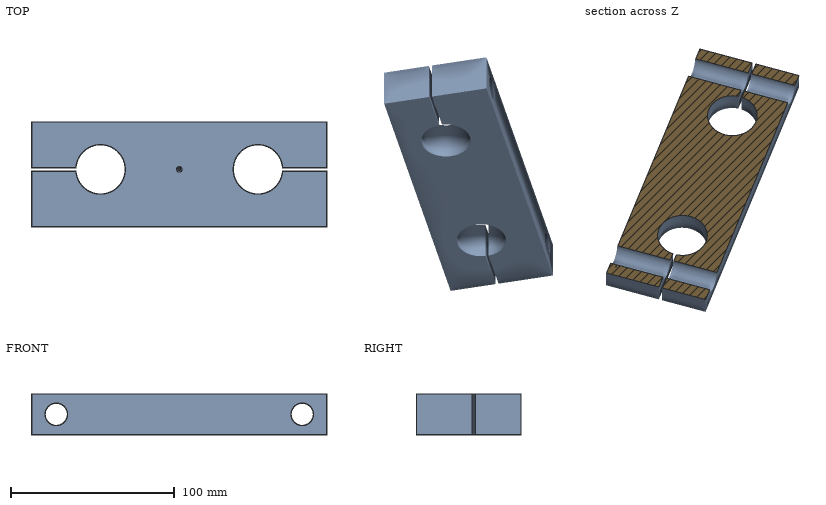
import cadquery as cq
import math

LENGTH = 180.0
WIDTH = 64.0
HEIGHT = 25.0

BORE_DIAMETER = 30.0
BORE_SPACING = 96.0
BORE_AXIS_Y = 3.0
SLIT_WIDTH = 2.0

SCREW_HOLE_DIAMETER = 13.5
SCREW_HOLE_END_DISTANCE = 15.0

PILOT_DIAMETER = 1.6
PILOT_DEPTH = 2.0
CENTRE_CONE_DIAMETER = 3.35
CENTRE_CONE_ANGLE = 60.0
PILOT_TIP_ANGLE = 120.0

SIDES = (-1, 1)
TOP = HEIGHT / 2


def cone_depth(diameter_change, included_angle):
    """Axial length over which a cone changes diameter by the given amount."""
    return diameter_change / 2 / math.tan(math.radians(included_angle / 2))


def make_block():
    return cq.Workplane("XY").box(LENGTH, WIDTH, HEIGHT)


def make_bore_with_slit(side):
    """Through bore and the slit from its axis to the end of the block."""
    bore_x = side * BORE_SPACING / 2
    slit_length = LENGTH / 2 - BORE_SPACING / 2
    slit_x = bore_x + side * slit_length / 2
    bore = (
        cq.Workplane("XY")
        .center(bore_x, BORE_AXIS_Y)
        .circle(BORE_DIAMETER / 2)
        .extrude(TOP, both=True)
    )
    slit = (
        cq.Workplane("XY")
        .box(slit_length, SLIT_WIDTH, HEIGHT)
        .translate((slit_x, BORE_AXIS_Y, 0))
    )
    return bore.union(slit)


def make_screw_hole(side):
    hole_x = side * (LENGTH / 2 - SCREW_HOLE_END_DISTANCE)
    return (
        cq.Workplane("XZ")
        .center(hole_x, 0)
        .circle(SCREW_HOLE_DIAMETER / 2)
        .extrude(WIDTH / 2, both=True)
    )


def make_centre_mark():
    """Centre-drill shape: cone at the top face, short pilot and pointed tip."""
    cone_bottom = TOP - cone_depth(CENTRE_CONE_DIAMETER - PILOT_DIAMETER, CENTRE_CONE_ANGLE)
    pilot_bottom = cone_bottom - PILOT_DEPTH
    tip = pilot_bottom - cone_depth(PILOT_DIAMETER, PILOT_TIP_ANGLE)
    return (
        cq.Workplane("XZ")
        .moveTo(0, TOP)
        .lineTo(CENTRE_CONE_DIAMETER / 2, TOP)
        .lineTo(PILOT_DIAMETER / 2, cone_bottom)
        .lineTo(PILOT_DIAMETER / 2, pilot_bottom)
        .lineTo(0, tip)
        .close()
        .revolve(360, (0, 0), (0, 1))
        .translate((0, BORE_AXIS_Y, 0))
    )


result = make_block().cut(make_centre_mark())
for end in SIDES:
    result = result.cut(make_bore_with_slit(end))
    result = result.cut(make_screw_hole(end))